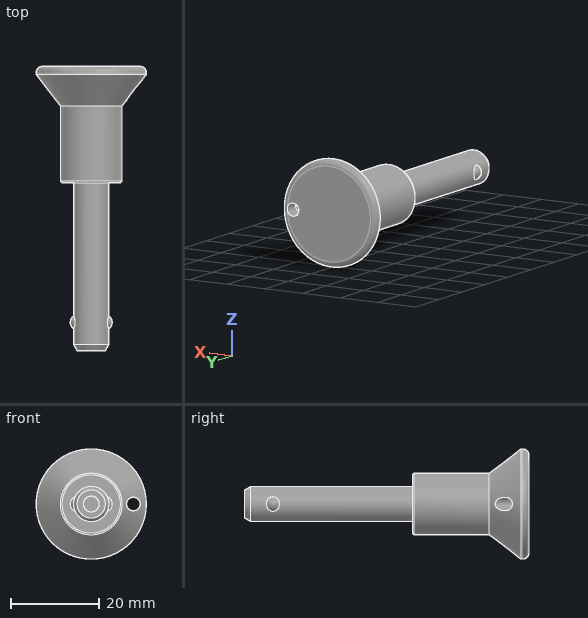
import cadquery as cq

length = 64.5
tip_y = -length / 2
back_y = length / 2

head_diameter = 25.0
head_round = 1.5
head_rim_width = 0.4
head_depth = 9.0
lanyard_hole_diameter = 3.0
lanyard_hole_offset = 9.55

sleeve_diameter = 14.0
sleeve_end_depth = 26.45
sleeve_chamfer = 0.4

shank_diameter = 8.0
tip_diameter = 6.4
tip_length = 1.4

spindle_diameter = 3.55
spindle_bore_diameter = 3.6
spindle_gap_depth = 0.65

ball_diameter = 3.55
ball_span = 9.55
ball_distance_from_tip = 6.45


def make_body():
    """Revolve head, sleeve and shank in one profile around the Y axis."""
    head_radius = head_diameter / 2
    sleeve_radius = sleeve_diameter / 2
    shank_radius = shank_diameter / 2
    rim_back_y = back_y - head_round
    rim_front_y = rim_back_y - head_rim_width
    sleeve_end_y = back_y - sleeve_end_depth
    round_start = (head_radius - head_round, back_y)
    return (
        cq.Workplane("XY")
        .moveTo(0, back_y)
        .lineTo(*round_start)
        .radiusArc((head_radius, rim_back_y), head_round)
        .lineTo(head_radius, rim_front_y)
        .lineTo(sleeve_radius, back_y - head_depth)
        .lineTo(sleeve_radius, sleeve_end_y + sleeve_chamfer)
        .lineTo(sleeve_radius - sleeve_chamfer, sleeve_end_y)
        .lineTo(shank_radius, sleeve_end_y)
        .lineTo(shank_radius, tip_y + tip_length)
        .lineTo(tip_diameter / 2, tip_y)
        .lineTo(0, tip_y)
        .close()
        .revolve(360, (0, 0, 0), (0, 1, 0))
    )


def make_locking_ball(side):
    """Ball on the +X (side=1) or -X (side=-1) side of the shank."""
    center_x = side * (ball_span - ball_diameter) / 2
    center_y = tip_y + ball_distance_from_tip
    return cq.Workplane("XY").sphere(ball_diameter / 2).translate((center_x, center_y, 0))


def make_lanyard_hole():
    """Cutter through the head flare, parallel to the pin axis."""
    return (
        cq.Workplane("XZ", origin=(lanyard_hole_offset, back_y, 0))
        .circle(lanyard_hole_diameter / 2)
        .extrude(head_depth)
    )


def make_spindle_gap():
    """Thin ring cut into the tip face around the spindle."""
    return (
        cq.Workplane("XZ", origin=(0, tip_y, 0))
        .circle(spindle_bore_diameter / 2)
        .circle(spindle_diameter / 2)
        .extrude(-spindle_gap_depth)
    )


result = make_body()
for side in (-1, 1):
    result = result.union(make_locking_ball(side))
result = result.cut(make_lanyard_hole())
result = result.cut(make_spindle_gap())